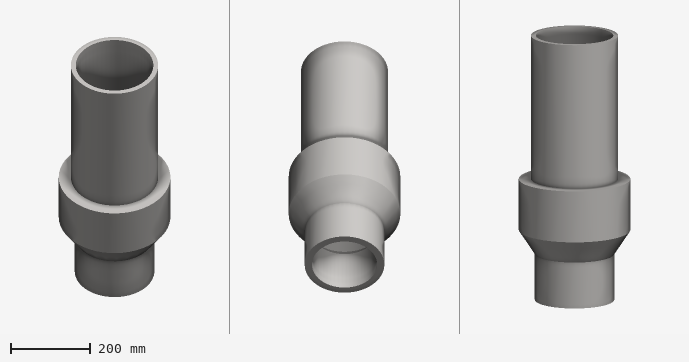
import cadquery as cq

pipe_diameter = 219.0
collar_diameter = 280.0
spigot_diameter = 200.0

pipe_bore = 194.5
spigot_bore = 164.0

spigot_top = 118.0
cone_top = 179.5
collar_top = 311.0
total_height = 680.0

cone_slope = (cone_top - spigot_top) / (collar_diameter - spigot_diameter)
bore_taper_bottom = spigot_top
bore_taper_top = bore_taper_bottom + (pipe_bore - spigot_bore) * cone_slope



def revolved(outline):
    """Revolve a closed (radius, height) half section about the Z axis."""
    return cq.Workplane("XZ").polyline(outline).close().revolve(360, (0, 0, 0), (0, 1, 0))


body = revolved([
    (0, 0),
    (spigot_diameter / 2, 0),
    (spigot_diameter / 2, spigot_top),
    (collar_diameter / 2, cone_top),
    (collar_diameter / 2, collar_top),
    (pipe_diameter / 2, collar_top),
    (pipe_diameter / 2, total_height),
    (0, total_height),
])

bore = revolved([
    (0, 0),
    (spigot_bore / 2, 0),
    (spigot_bore / 2, bore_taper_bottom),
    (pipe_bore / 2, bore_taper_top),
    (pipe_bore / 2, total_height),
    (0, total_height),
])

result = body.cut(bore)